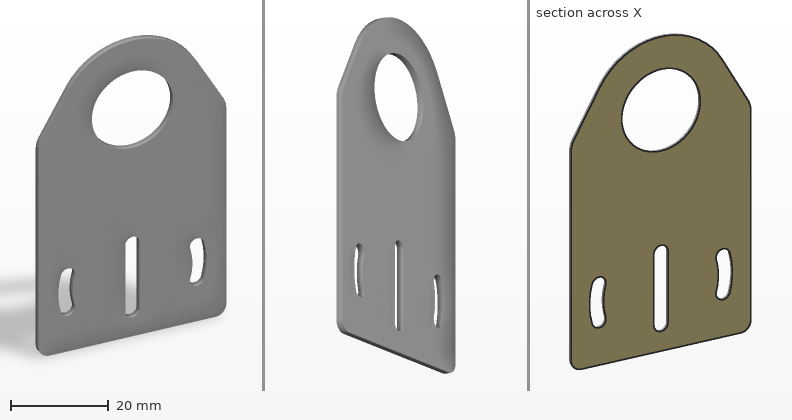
import cadquery as cq
import math

thickness = 1.5
width = 42.0
height = 70.5
crown_radius = 16.5
hole_radius = 9.1
flank_angle = 60.0
shoulder_radius = 5.0
corner_radius = 2.5

slot_width = 3.2
slot_length = 19.2
slot_center_z = 14.1
arc_slot_radius = 15.0
arc_slot_half_angle = 15.6

half_width = width / 2
hole_z = height - crown_radius
flank = math.radians(flank_angle)
tangent_y = crown_radius * math.sin(flank)
tangent_z = hole_z + crown_radius * math.cos(flank)
shoulder_z = tangent_z - (half_width - tangent_y) * math.tan(flank)


def plate_sketch():
    """Start a profile in the YZ plane, centred through the thickness."""
    return cq.Workplane("YZ", origin=(-thickness / 2, 0, 0))


def make_plate():
    """Rectangular plate tapering into a round crown tangent to its flanks."""
    plate = (
        plate_sketch()
        .moveTo(-half_width, 0)
        .lineTo(half_width, 0)
        .lineTo(half_width, shoulder_z)
        .lineTo(tangent_y, tangent_z)
        .threePointArc((0, height), (-tangent_y, tangent_z))
        .lineTo(-half_width, shoulder_z)
        .close()
        .extrude(thickness)
    )
    plate = plate.edges("|X").edges("<Z").fillet(corner_radius)
    for side in (-1, 1):
        shoulder = cq.selectors.NearestToPointSelector((0, side * half_width, shoulder_z))
        plate = plate.edges("|X").edges(shoulder).fillet(shoulder_radius)
    return plate


def make_arc_slot(side):
    """Round-ended slot curved about the centre of the straight slot."""
    half_angle = math.radians(arc_slot_half_angle)
    inner = arc_slot_radius - slot_width / 2
    outer = arc_slot_radius + slot_width / 2

    def point(radius, angle):
        return (side * radius * math.cos(angle), slot_center_z + radius * math.sin(angle))

    cap_angle = half_angle + slot_width / 2 / arc_slot_radius
    return (
        plate_sketch()
        .moveTo(*point(inner, -half_angle))
        .threePointArc(point(inner, 0), point(inner, half_angle))
        .threePointArc(point(arc_slot_radius, cap_angle), point(outer, half_angle))
        .threePointArc(point(outer, 0), point(outer, -half_angle))
        .threePointArc(point(arc_slot_radius, -cap_angle), point(inner, -half_angle))
        .close()
        .extrude(thickness)
    )


hole = plate_sketch().center(0, hole_z).circle(hole_radius).extrude(thickness)
straight_slot = (
    plate_sketch()
    .center(0, slot_center_z)
    .slot2D(slot_length, slot_width, 90)
    .extrude(thickness)
)

result = make_plate().cut(hole).cut(straight_slot)
for slot_side in (-1, 1):
    result = result.cut(make_arc_slot(slot_side))